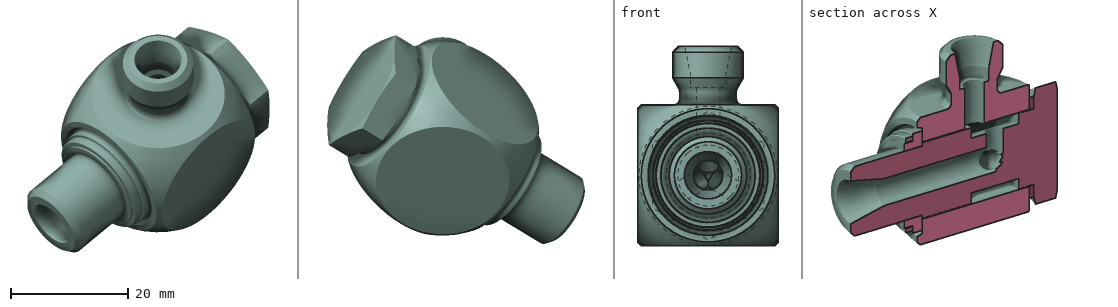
import cadquery as cq
import math


block_width = 24.0
half_width = block_width / 2
rear_face = 11.55
front_face = -half_width
corner_ball_radius = 16.55
housing_hole_diameter = 14.4

recess_mouth_diameter = 20.45
recess_floor_diameter = 19.92
recess_depth = 1.0
recess_fillet = 0.35
recess_floor = front_face + recess_depth

pick_margin = 0.05

stub_height = 10.0
stub_diameter = 12.0
stub_chamfer = 1.0
stub_taper_top = 4.6
stub_taper_angle = 30
stub_neck_diameter = 9.7
stub_taper_fillet = 0.85
stub_base_fillet = 1.0

seat_half_angle = 12
seat_mouth_diameter = 8.05
tube_socket_diameter = 6.0
tube_socket_depth = 7.0
outlet_bore_diameter = 4.0

rear_end = 17.5
total_length = 43.5
front_end = rear_end - total_length
hex_sides = 6
hex_across_flats = 19.0
hex_length = 5.0
hex_corner_drop = 0.35
head_face = rear_end - hex_length
shank_diameter = 14.35
spigot_diameter = 13.2
spigot_chamfer = 0.85
screw_bore_diameter = 5.0
drill_point_angle = 59
flow_groove_diameter = 10.4
flow_groove_front = -0.6
cross_hole_diameter = 3.5
cross_hole_count = 3
cross_hole_y = 4.35
cross_hole_inner_gap = 0.52
screw_bore_overrun = 0.05
screw_bore_end = cross_hole_y + screw_bore_overrun
flow_groove_rear = 2 * cross_hole_y - flow_groove_front

ring_edge_chamfer = 0.15
washer_diameter = hex_across_flats
support_ring_diameter = 18.85
support_ring_bore = spigot_diameter
support_ring_face = -13.0
support_hub_diameter = 16.0
support_hub_face = -14.8
seal_ring_diameter = 17.9
seal_ring_bore = 16.1
seal_ring_face = -14.5


def cone_depth(large_diameter, small_diameter, half_angle):
    """Axial length of a cone between two diameters."""
    return (large_diameter - small_diameter) / 2 / math.tan(math.radians(half_angle))


def turned_along_y(profile):
    """Solid turned about the Y axis from (radius, y) points."""
    return cq.Workplane("XY").polyline(profile).close().revolve(360, (0, 0, 0), (0, 1, 0))


def turned_along_z(profile):
    """Solid turned about the Z axis from (radius, z) points."""
    return cq.Workplane("XZ").polyline(profile).close().revolve(360, (0, 0, 0), (0, 1, 0))


def y_cylinder(diameter, y_start, y_end):
    """Cylinder on the Y axis between two positions."""
    radius = diameter / 2
    return turned_along_y([(0, y_start), (radius, y_start), (radius, y_end), (0, y_end)])


def make_block():
    """Block with its corners and edges turned off to a ball."""
    block = cq.Workplane("XY").box(block_width, rear_face - front_face, block_width)
    block = block.translate((0, (rear_face + front_face) / 2, 0))
    return block.intersect(cq.Workplane("XY").sphere(corner_ball_radius))


def make_stub():
    """Necked outlet stub, starting inside the block so that the two fuse."""
    radius = stub_diameter / 2
    neck_radius = stub_neck_diameter / 2
    taper_height = cone_depth(stub_diameter, stub_neck_diameter, stub_taper_angle)
    taper_bottom = half_width + stub_taper_top - taper_height
    root = half_width - stub_base_fillet
    top = half_width + stub_height
    stub = turned_along_z([
        (0, root),
        (neck_radius, root),
        (neck_radius, taper_bottom),
        (radius, half_width + stub_taper_top),
        (radius, top - stub_chamfer),
        (radius - stub_chamfer, top),
        (0, top),
    ])
    taper_edge = cq.selectors.BoxSelector(
        (-radius, -radius, taper_bottom - pick_margin), (radius, radius, taper_bottom + pick_margin), True)
    return stub.edges(taper_edge).edges("%CIRCLE").fillet(stub_taper_fillet)


def blend_stub_base(body):
    """Fillet where the stub neck meets the top of the block."""
    reach = stub_diameter / 2
    base_edge = cq.selectors.BoxSelector(
        (-reach, -reach, half_width - pick_margin), (reach, reach, half_width + pick_margin), True)
    return body.edges(base_edge).fillet(stub_base_fillet)


def make_outlet_bore():
    """Cone seat, tube socket and through bore of the stub, down to the hole for the screw."""
    top = half_width + stub_height
    seat_end = top - cone_depth(seat_mouth_diameter, tube_socket_diameter, seat_half_angle)
    socket_end = top - tube_socket_depth
    return turned_along_z([
        (0, 0),
        (outlet_bore_diameter / 2, 0),
        (outlet_bore_diameter / 2, socket_end),
        (tube_socket_diameter / 2, socket_end),
        (tube_socket_diameter / 2, seat_end),
        (seat_mouth_diameter / 2, top),
        (0, top),
    ])


def make_front_recess():
    """Slightly tapered recess in the front face, rounded into its floor."""
    recess = turned_along_y([
        (0, front_face),
        (recess_mouth_diameter / 2, front_face),
        (recess_floor_diameter / 2, recess_floor),
        (0, recess_floor),
    ])
    return recess.faces(">Y").edges().fillet(recess_fillet)


def make_housing():
    body = blend_stub_base(make_block().union(make_stub()))
    screw_hole = y_cylinder(housing_hole_diameter, front_face, rear_face)
    return body.cut(make_front_recess()).cut(screw_hole).cut(make_outlet_bore())


def make_hex_head():
    """Hexagon with corners on +Z and -Z, both ends turned to a shallow cone."""
    half_sector = 180 / hex_sides
    corner_diameter = hex_across_flats / math.cos(math.radians(half_sector))
    prism = (
        cq.Workplane("XZ", origin=(0, rear_end, 0))
        .polygon(hex_sides, corner_diameter)
        .extrude(hex_length)
    )
    prism = prism.rotate((0, 0, 0), (0, 1, 0), half_sector)
    flat_radius = hex_across_flats / 2
    corner_radius = corner_diameter / 2
    envelope = turned_along_y([
        (0, head_face),
        (flat_radius, head_face),
        (corner_radius, head_face + hex_corner_drop),
        (corner_radius, rear_end - hex_corner_drop),
        (flat_radius, rear_end),
        (0, rear_end),
    ])
    return prism.intersect(envelope)


def make_shaft():
    """Shank with the flow groove, then the chamfered front spigot."""
    shank_radius = shank_diameter / 2
    groove_radius = flow_groove_diameter / 2
    spigot_radius = spigot_diameter / 2
    return turned_along_y([
        (0, head_face),
        (shank_radius, head_face),
        (shank_radius, flow_groove_rear),
        (groove_radius, flow_groove_rear),
        (groove_radius, flow_groove_front),
        (shank_radius, flow_groove_front),
        (shank_radius, recess_floor),
        (spigot_radius, recess_floor),
        (spigot_radius, front_end + spigot_chamfer),
        (spigot_radius - spigot_chamfer, front_end),
        (0, front_end),
    ])


def make_screw_bore():
    """Blind bore from the front end: cone seat, bore and drill point."""
    bore_radius = screw_bore_diameter / 2
    seat_depth = cone_depth(seat_mouth_diameter, screw_bore_diameter, seat_half_angle)
    point_depth = cone_depth(screw_bore_diameter, 0, drill_point_angle)
    return turned_along_y([
        (0, front_end),
        (seat_mouth_diameter / 2, front_end),
        (bore_radius, front_end + seat_depth),
        (bore_radius, screw_bore_end),
        (0, screw_bore_end + point_depth),
    ])


def make_screw():
    screw = make_hex_head().union(make_shaft()).cut(make_screw_bore())
    cross_hole = (
        cq.Workplane("XY", origin=(0, cross_hole_y, cross_hole_inner_gap))
        .circle(cross_hole_diameter / 2)
        .extrude(shank_diameter / 2)
    )
    for index in range(cross_hole_count):
        screw = screw.cut(cross_hole.rotate((0, 0, 0), (0, 1, 0), index * 360 / cross_hole_count))
    return screw


def make_washer():
    """Washer between the hex head and the rear face of the housing."""
    washer = y_cylinder(washer_diameter, rear_face, head_face).faces("<Y").chamfer(ring_edge_chamfer)
    return washer.cut(y_cylinder(housing_hole_diameter, rear_face, head_face))


def make_support_ring():
    """Flange seated in the front recess, with a hub that carries the seal ring."""
    flange = y_cylinder(support_ring_diameter, support_ring_face, recess_floor)
    flange = flange.faces("<Y").chamfer(ring_edge_chamfer)
    hub = y_cylinder(support_hub_diameter, support_hub_face, recess_floor)
    return flange.union(hub).cut(y_cylinder(support_ring_bore, support_hub_face, recess_floor))


def make_seal_ring():
    """Ring around the hub of the support ring."""
    ring = y_cylinder(seal_ring_diameter, seal_ring_face, support_ring_face)
    ring = ring.faces("<Y").chamfer(ring_edge_chamfer)
    return ring.cut(y_cylinder(seal_ring_bore, seal_ring_face, support_ring_face))


housing = make_housing()
screw = make_screw()
washer = make_washer()
support_ring = make_support_ring()
seal_ring = make_seal_ring()

result = cq.Compound.makeCompound([
    housing.val(),
    screw.val(),
    washer.val(),
    support_ring.val(),
    seal_ring.val(),
])